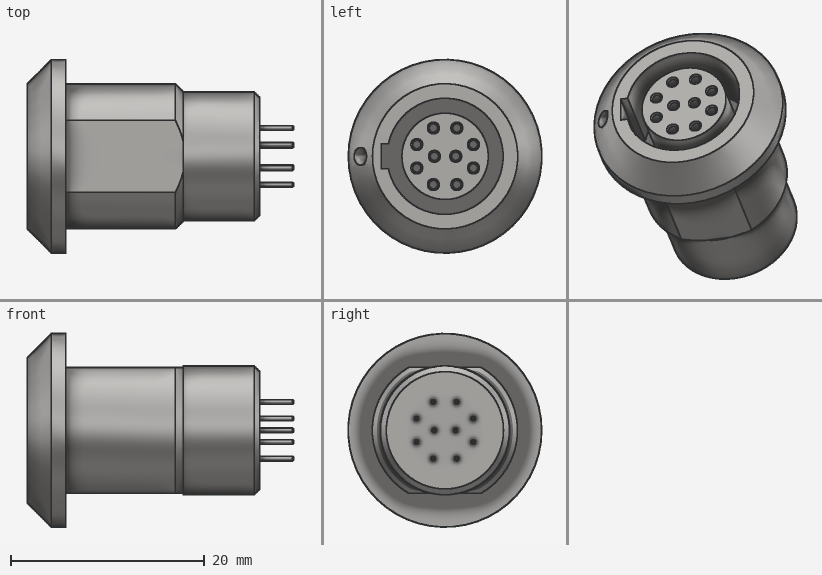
import cadquery as cq
import math

total_length = 27.5

flange_diameter = 20.0
flange_thickness = 4.0
flange_bevel = 2.5

barrel_diameter = 15.0
barrel_end = 16.1
barrel_chamfer = 0.8
across_flats = 13.0

rear_diameter = 13.3
rear_end = 24.0
rear_chamfer = 0.6

socket_diameter = 12.0
socket_depth = 8.0
key_width = 2.6
key_reach = 6.6

insert_diameter = 8.9
insert_recess = 0.5

contact_count = 8
contact_circle_radius = 3.15
inner_contact_offset = 1.1
contact_hole_diameter = 0.88
contact_hole_depth = 3.0
contact_countersink_diameter = 1.2

pin_diameter = 0.5
pin_tip_chamfer = 0.15

dimple_radius = 0.9


def cylinder(diameter, start, end):
    """Solid cylinder about the connector axis between two X positions."""
    return cq.Workplane("YZ").workplane(offset=start).circle(diameter / 2).extrude(end - start)


def contact_positions():
    """(Y, Z) centres of the outer ring of contacts and the two inner ones."""
    step = 2 * math.pi / contact_count
    angles = [(i + 0.5) * step for i in range(contact_count)]
    ring = [(contact_circle_radius * math.cos(a), contact_circle_radius * math.sin(a)) for a in angles]
    return ring + [(-inner_contact_offset, 0), (inner_contact_offset, 0)]


def make_shell():
    """Bevelled flange, barrel with two flats, and round rear housing."""
    flange = cylinder(flange_diameter, 0, flange_thickness).faces("<X").chamfer(flange_bevel)
    barrel = cylinder(barrel_diameter, 0, barrel_end).faces(">X").chamfer(barrel_chamfer)
    flats = cq.Workplane("XY").box(2 * barrel_end, barrel_diameter, across_flats)
    rear = cylinder(rear_diameter, barrel_end, rear_end)
    rear = rear.faces(">X").chamfer(rear_chamfer)
    return flange.union(barrel.intersect(flats)).union(rear)


def make_socket():
    """Round mating cavity with a keyway on the +Y side."""
    keyway = cq.Workplane("XY").box(
        socket_depth, key_reach, key_width, centered=(False, False, True)
    )
    return cylinder(socket_diameter, 0, socket_depth).union(keyway)


def make_contact_hole():
    """Blind hole on the connector axis with a 45 degree countersink at the insert face."""
    hole = cylinder(contact_hole_diameter, insert_recess, insert_recess + contact_hole_depth)
    mouth_radius = contact_countersink_diameter / 2
    hole_radius = contact_hole_diameter / 2
    countersink = cq.Solid.makeCone(
        mouth_radius,
        hole_radius,
        mouth_radius - hole_radius,
        pnt=cq.Vector(insert_recess, 0, 0),
        dir=cq.Vector(1, 0, 0),
    )
    return hole.union(cq.Workplane(countersink))


def make_insert():
    """Contact carrier standing in the cavity, with countersunk contact holes."""
    insert = cylinder(insert_diameter, insert_recess, socket_depth)
    hole = make_contact_hole()
    for y, z in contact_positions():
        insert = insert.cut(hole.translate((0, y, z)))
    return insert


def make_dimple():
    """Ball that marks the keyway side, centred on the middle of the flange bevel."""
    ball = cq.Workplane("XY").sphere(dimple_radius)
    return ball.translate((flange_bevel / 2, (flange_diameter - flange_bevel) / 2, 0))


def make_pin():
    """Solder pin on the connector axis with a chamfered tip."""
    pin = cylinder(pin_diameter, rear_end, total_length)
    return pin.faces(">X").chamfer(pin_tip_chamfer)


result = make_shell().cut(make_socket()).cut(make_dimple()).union(make_insert())
for pin_y, pin_z in contact_positions():
    result = result.union(make_pin().translate((0, pin_y, pin_z)))